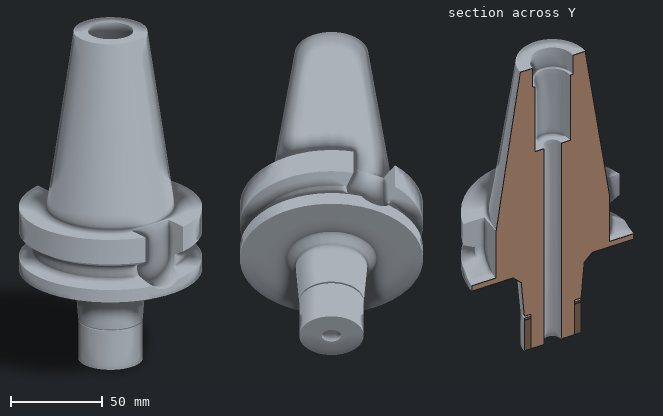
import cadquery as cq
import math

TOTAL_HEIGHT = 191.8
SLEEVE_TOP = 21.0
COLLAR_TOP = 22.6
NOSE_BOTTOM = 23.5
NOSE_TOP = 47.4
FLANGE_BOTTOM = 52.4
FLANGE_TOP = 89.0
TAPER_BOTTOM = 90.0

TAPER_SMALL_RADIUS = 20.1
TAPER_LARGE_RADIUS = 35.0

FLANGE_RADIUS = 100.0 / 2
GROOVE_CENTER = 67.1
GROOVE_FLOOR_WIDTH = 6.5
GROOVE_DEPTH = 7.3
GROOVE_FLANK_ANGLE = 30.0

SLOT_WIDTH = 25.9
SLOT_BOTTOM = 56.4
SLOT_FLOOR_DISTANCE = 35.3

NOSE_TOP_RADIUS = 19.5
NOSE_BOTTOM_RADIUS = 17.6
FLARE_RADIUS = NOSE_TOP_RADIUS + (FLANGE_BOTTOM - NOSE_TOP)

NECK_RADIUS = 13.6
RING_RADIUS = 35.1 / 2

MOUTH_DIAMETER = 25.0
MOUTH_DEPTH = 13.0
THREAD_BORE_DIAMETER = 21.5
THREAD_BORE_DEPTH = 57.5
COOLANT_DIAMETER = 10.5


def holder_blank():
    """Solid of revolution: neck, nose, grooved flange and spindle taper."""
    floor_half = GROOVE_FLOOR_WIDTH / 2
    rim_half = floor_half + GROOVE_DEPTH * math.tan(math.radians(GROOVE_FLANK_ANGLE))
    floor_radius = FLANGE_RADIUS - GROOVE_DEPTH
    profile = [
        (0, 0),
        (NECK_RADIUS, 0),
        (NECK_RADIUS, NOSE_BOTTOM),
        (NOSE_BOTTOM_RADIUS, NOSE_BOTTOM),
        (NOSE_TOP_RADIUS, NOSE_TOP),
        (FLARE_RADIUS, FLANGE_BOTTOM),
        (FLANGE_RADIUS, FLANGE_BOTTOM),
        (FLANGE_RADIUS, GROOVE_CENTER - rim_half),
        (floor_radius, GROOVE_CENTER - floor_half),
        (floor_radius, GROOVE_CENTER + floor_half),
        (FLANGE_RADIUS, GROOVE_CENTER + rim_half),
        (FLANGE_RADIUS, FLANGE_TOP),
        (TAPER_LARGE_RADIUS, FLANGE_TOP),
        (TAPER_LARGE_RADIUS, TAPER_BOTTOM),
        (TAPER_SMALL_RADIUS, TOTAL_HEIGHT),
        (0, TOTAL_HEIGHT),
    ]
    return cq.Workplane("XZ").polyline(profile).close().revolve(360, (0, 0, 0), (0, 1, 0))


def drive_slot(side):
    """Cutter for one drive slot; side is +1 for +X and -1 for -X."""
    half_width = SLOT_WIDTH / 2
    arc_center = SLOT_BOTTOM + half_width
    return (
        cq.Workplane("YZ", origin=(side * SLOT_FLOOR_DISTANCE, 0, 0))
        .moveTo(-half_width, FLANGE_TOP)
        .lineTo(-half_width, arc_center)
        .threePointArc((0, SLOT_BOTTOM), (half_width, arc_center))
        .lineTo(half_width, FLANGE_TOP)
        .close()
        .extrude(side * FLANGE_RADIUS)
    )


def stepped_bore():
    """Cutter for the mouth, the thread bore and the coolant hole."""
    bore = cq.Workplane("XY").circle(COOLANT_DIAMETER / 2).extrude(TOTAL_HEIGHT)
    for diameter, depth in (
        (MOUTH_DIAMETER, MOUTH_DEPTH),
        (THREAD_BORE_DIAMETER, THREAD_BORE_DEPTH),
    ):
        step = cq.Workplane("XY", origin=(0, 0, TOTAL_HEIGHT)).circle(diameter / 2).extrude(-depth)
        bore = bore.union(step)
    return bore


def make_holder():
    holder = holder_blank().cut(stepped_bore())
    for side in (-1, 1):
        holder = holder.cut(drive_slot(side))
    return holder


def neck_ring(bottom, top):
    """Plain ring that fits around the neck."""
    return (
        cq.Workplane("XY", origin=(0, 0, bottom))
        .circle(RING_RADIUS)
        .circle(NECK_RADIUS)
        .extrude(top - bottom)
    )


holder = make_holder()
collar = neck_ring(SLEEVE_TOP, COLLAR_TOP)
sleeve = neck_ring(0, SLEEVE_TOP)

result = cq.Compound.makeCompound([holder.val(), collar.val(), sleeve.val()])